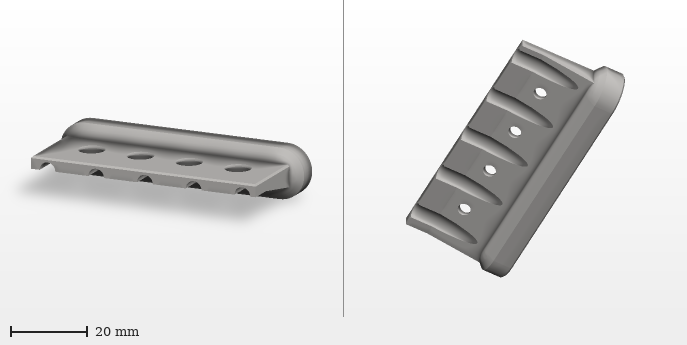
import math

import cadquery as cq

BAR_LENGTH = 70.0
BAR_HEIGHT = 14.0
BACK_CHAMFER = 0.5
FRONT_CHAMFER = 1.5
CHAMFER_END = 7.0
NOSE_RADIUS = 4.0

BAR_RADIUS = BAR_HEIGHT / 2
END_CENTRE = BAR_LENGTH / 2 - BAR_RADIUS
BAR_DEPTH = CHAMFER_END + NOSE_RADIUS * (1 - math.cos(math.pi / 4))

PLATE_WIDTH = 64.6
PLATE_CENTRE_X = -0.5
PLATE_TOP = 3.4
PLATE_FRONT = -28.8
PLATE_ROOT = -5.5
TAPER_START = -22.5
TAPER_ANGLE = 10.5
PLATE_CHAMFER = 0.5

PITCH = 14.0
ROD_DIAMETER = 4.5
ROD_COUNT = 5

SCREW_COUNT = ROD_COUNT - 1
SCREW_TILT = 20.0
SCREW_Y = -16.4
SCREW_DIAMETER = 3.4
HEAD_DIAMETER = 6.2
HEAD_DEPTH = 2.7
RIM_CHAMFER = 0.5
TOOL_REACH = 10.0


def spaced(count):
    """X positions of a centred row with the common pitch."""
    return [(i - (count - 1) / 2) * PITCH for i in range(count)]


def half_profile():
    """Upper half of the bar section, drawn in (radius, Y) coordinates."""
    slope_end = BAR_RADIUS - FRONT_CHAMFER
    nose_centre_radius = slope_end - NOSE_RADIUS * math.sin(math.pi / 4)
    nose_mid = (
        nose_centre_radius + NOSE_RADIUS * math.sin(math.pi / 8),
        NOSE_RADIUS * (1 - math.cos(math.pi / 8)) - BAR_DEPTH,
    )
    return (
        cq.Workplane("XY")
        .lineTo(BAR_RADIUS - BACK_CHAMFER, 0)
        .lineTo(BAR_RADIUS, -BACK_CHAMFER)
        .lineTo(BAR_RADIUS, FRONT_CHAMFER - CHAMFER_END)
        .lineTo(slope_end, -CHAMFER_END)
        .threePointArc(nose_mid, (nose_centre_radius, -BAR_DEPTH))
        .lineTo(0, -BAR_DEPTH)
        .close()
    )


def make_bar():
    """Straight middle from two mirrored halves, with a revolved end on each side."""
    end = half_profile().revolve(360, (0, 0, 0), (0, 1, 0))
    upper = (
        half_profile()
        .extrude(2 * END_CENTRE)
        .rotate((0, 0, 0), (0, 1, 0), -90)
        .translate((END_CENTRE, 0, 0))
    )
    lower = upper.mirror("XY")
    bar = upper.union(lower)
    for x in (-END_CENTRE, END_CENTRE):
        bar = bar.union(end.translate((x, 0, 0)))
    return bar


def make_plate():
    """Flat-topped plate whose underside drops towards the bar."""
    root_bottom = -(PLATE_ROOT - TAPER_START) * math.tan(math.radians(TAPER_ANGLE))
    plate = (
        cq.Workplane("YZ")
        .moveTo(PLATE_FRONT, PLATE_TOP)
        .lineTo(PLATE_FRONT, 0)
        .lineTo(TAPER_START, 0)
        .lineTo(PLATE_ROOT, root_bottom)
        .lineTo(PLATE_ROOT, PLATE_TOP)
        .close()
        .extrude(PLATE_WIDTH / 2, both=True)
    )
    plate = plate.faces(">Z").edges("<Y or <X or >X").chamfer(PLATE_CHAMFER)
    return plate.translate((PLATE_CENTRE_X, 0, 0))


def rod_hole(x):
    """Cylinder from the back face of the bar to the front of the plate."""
    return (
        cq.Workplane("XZ")
        .center(x, 0)
        .circle(ROD_DIAMETER / 2)
        .extrude(-PLATE_FRONT)
    )


def screw_hole(x):
    """Stepped cutter, revolved about Z, then tilted so its lower end leans to -Y."""
    head_radius = HEAD_DIAMETER / 2
    cutter = (
        cq.Workplane("XZ")
        .moveTo(0, -TOOL_REACH)
        .lineTo(SCREW_DIAMETER / 2, -TOOL_REACH)
        .lineTo(SCREW_DIAMETER / 2, -HEAD_DEPTH)
        .lineTo(head_radius, -HEAD_DEPTH)
        .lineTo(head_radius, TOOL_REACH)
        .lineTo(0, TOOL_REACH)
        .close()
        .revolve(360, (0, 0, 0), (0, 1, 0))
    )
    return cutter.rotate((0, 0, 0), (1, 0, 0), -SCREW_TILT).translate((x, SCREW_Y, PLATE_TOP))


def add_screw_holes(plate):
    for x in spaced(SCREW_COUNT):
        plate = plate.cut(screw_hole(x))
    return plate.faces(">Z").edges("%ELLIPSE").chamfer(RIM_CHAMFER)


result = make_bar().union(add_screw_holes(make_plate()))
for rod_x in spaced(ROD_COUNT):
    result = result.cut(rod_hole(rod_x))